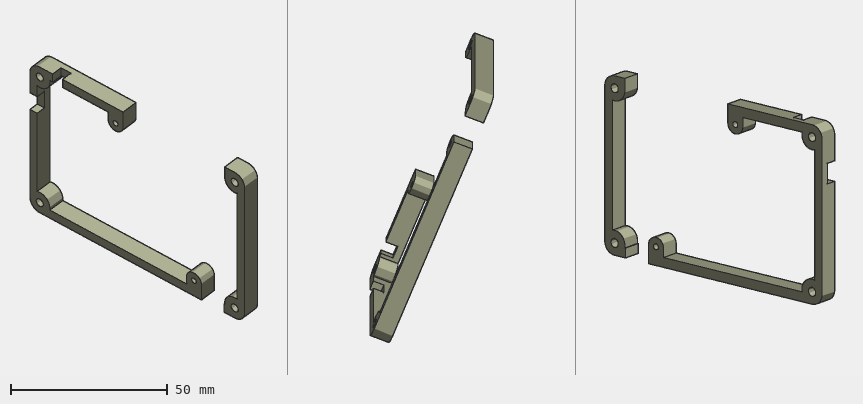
import cadquery as cq

LENGTH = 90.0
HEIGHT = 60.0
DEPTH = 6.4

LEFT_RAIL = 3.1
RIGHT_RAIL = 3.2
CROSS_RAIL = 3.3

CORNER_RADIUS = 4.1
BOSS_RADIUS = 4.2
BOSS_HOLE_DIAMETER = 3.0

LUG_WIDTH = 6.3
LUG_REACH = 6.3
LUG_HOLE_DIAMETER = 2.0
TOP_RAIL_END = 39.1
BOTTOM_RAIL_END = 71.9

TOP_FOOT_LEFT = LENGTH - CORNER_RADIUS - BOSS_RADIUS
BOTTOM_FOOT_LEFT = 81.4
BOTTOM_FOOT_HEIGHT = 3.3

TOP_NOTCH_START = 9.5
TOP_NOTCH_WIDTH = 4.1
TOP_NOTCH_DEPTH = 4.1
SIDE_NOTCH_DROP = 12.8
SIDE_NOTCH_HEIGHT = 6.8
SIDE_NOTCH_DEPTH = 3.6

LEFT_BOSS_X = CORNER_RADIUS
RIGHT_BOSS_X = LENGTH - CORNER_RADIUS
BOTTOM_BOSS_Z = CORNER_RADIUS
TOP_BOSS_Z = HEIGHT - CORNER_RADIUS


def block(x_start, x_end, z_start, z_end, depth=DEPTH):
    """Box that starts at the front face and runs back by depth."""
    size = (x_end - x_start, depth, z_end - z_start)
    return cq.Workplane("XY").box(*size, centered=False).translate((x_start, 0, z_start))


def disc(x, z, radius):
    """Full-depth cylinder along Y."""
    return cq.Workplane("XZ", origin=(x, 0, z)).circle(radius).extrude(-DEPTH)


def rounded_plate():
    """Full outer outline, which trims the bosses and rails to the rounded corners."""
    return block(0, LENGTH, 0, HEIGHT).edges("|Y").fillet(CORNER_RADIUS)


def add_lug(body, rail_end, hole_z, rail_z):
    """Add a drilled lug that stands from the rail's outer face, flush with the rail end."""
    hole_x = rail_end - LUG_WIDTH / 2
    low, high = sorted((hole_z, rail_z))
    body = body.union(block(rail_end - LUG_WIDTH, rail_end, low, high))
    body = body.union(disc(hole_x, hole_z, LUG_WIDTH / 2))
    return body.cut(disc(hole_x, hole_z, LUG_HOLE_DIAMETER / 2))


def finish_corners(body, boss_x):
    """Add the two bosses at boss_x, round the outer corners and drill the screw holes."""
    for boss_z in (BOTTOM_BOSS_Z, TOP_BOSS_Z):
        body = body.union(disc(boss_x, boss_z, BOSS_RADIUS))
    body = body.intersect(rounded_plate())
    for boss_z in (BOTTOM_BOSS_Z, TOP_BOSS_Z):
        body = body.cut(disc(boss_x, boss_z, BOSS_HOLE_DIAMETER / 2))
    return body


def boss_web(x_start, x_end):
    """Pair of blocks that join the bosses to the top and bottom outer faces."""
    bottom = block(x_start, x_end, 0, BOTTOM_BOSS_Z)
    return bottom.union(block(x_start, x_end, TOP_BOSS_Z, HEIGHT))


def cut_notches(body):
    """Cut the front-face notches through the top rail and the left rail."""
    top_notch_end = TOP_NOTCH_START + TOP_NOTCH_WIDTH
    top_notch = block(TOP_NOTCH_START, top_notch_end, HEIGHT - CROSS_RAIL, HEIGHT, TOP_NOTCH_DEPTH)
    side_notch_top = HEIGHT - SIDE_NOTCH_DROP
    side_notch_bottom = side_notch_top - SIDE_NOTCH_HEIGHT
    side_notch = block(0, LEFT_RAIL, side_notch_bottom, side_notch_top, SIDE_NOTCH_DEPTH)
    return body.cut(top_notch).cut(side_notch)


def make_frame():
    """C-shaped frame: left rail, top and bottom rails, bosses, lugs and notches."""
    frame = block(0, LEFT_RAIL, 0, HEIGHT)
    frame = frame.union(block(0, BOTTOM_RAIL_END, 0, CROSS_RAIL))
    frame = frame.union(block(0, TOP_RAIL_END, HEIGHT - CROSS_RAIL, HEIGHT))
    frame = frame.union(boss_web(LEFT_BOSS_X, LEFT_BOSS_X + BOSS_RADIUS))
    frame = finish_corners(frame, LEFT_BOSS_X)
    frame = add_lug(frame, BOTTOM_RAIL_END, LUG_REACH, 0)
    frame = add_lug(frame, TOP_RAIL_END, HEIGHT - LUG_REACH, HEIGHT)
    return cut_notches(frame)


def make_bracket():
    """Right-hand bracket: one rail with a boss and a square foot at each end."""
    bracket = block(LENGTH - RIGHT_RAIL, LENGTH, 0, HEIGHT)
    bracket = bracket.union(boss_web(TOP_FOOT_LEFT, RIGHT_BOSS_X))
    bracket = bracket.union(block(BOTTOM_FOOT_LEFT, RIGHT_BOSS_X, 0, BOTTOM_FOOT_HEIGHT))
    return finish_corners(bracket, RIGHT_BOSS_X)


frame = make_frame()
bracket = make_bracket()
result = cq.Compound.makeCompound([frame.solids().val(), bracket.solids().val()])